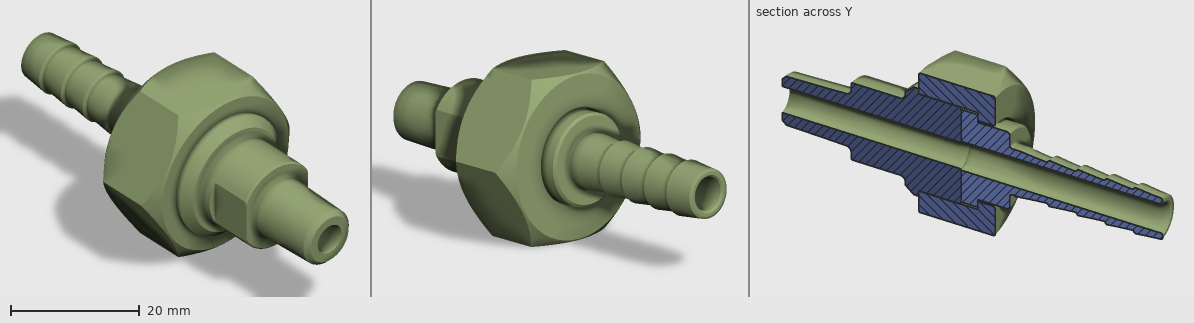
import cadquery as cq
import math

OVERALL_LENGTH = 67.0

TAIL_BORE_RADIUS = 5.5 / 2
TAIL_BORE_CHAMFER = 0.3
TIP_BEVEL_LENGTH = 0.2
TIP_BEVEL_DEPTH = 0.4
BARB_COUNT = 4
BARB_PITCH = 5.03
FIRST_BARB_CREST = 4.9
BARB_CREST_RADIUS = 9.0 / 2
BARB_ROOT_RADIUS = 4.0
BARB_BACK_LENGTH = 0.4
COLLAR_START = 26.9
COLLAR_RADIUS = 15.0 / 2
COLLAR_CHAMFER = 0.4
COLLAR_ROOT_FILLET = 0.4
FLANGE_RADIUS = 18.0 / 2
FLANGE_LENGTH = 3.0

NUT_START = 29.5
NUT_END = 43.0
NUT_ACROSS_FLATS = 27.0
NUT_FACE_RADIUS = 26.5 / 2
NUT_WALL = 3.0
NUT_HOLE_RADIUS = 15.5 / 2
NUT_HOLE_CHAMFER = 0.25
NUT_BORE_RADIUS = 18.63 / 2

MALE_BORE_RADIUS = 5.0 / 2
SHOULDER_RADIUS = 20.9 / 2
SHOULDER_RIM_LENGTH = 0.8
SHOULDER_END = 45.4
SHOULDER_END_RADIUS = 18.0 / 2
BODY_RADIUS = 15.0 / 2
BODY_END = 54.9
BODY_CHAMFER = 0.25
ROOT_FILLET = 0.8
THREAD_TIP_RADIUS = 4.74
THREAD_TAPER = 1 / 16
THREAD_CHAMFER = 0.8
WRENCH_FLAT_WIDTH = 13.0
WRENCH_FLAT_START = 47.7
WRENCH_WALL_LEAN = 0.2

FLANGE_START = NUT_START + NUT_WALL
JOINT_PLANE = FLANGE_START + FLANGE_LENGTH


def revolve_about_x(profile):
    """Turn a closed (x, radius) outline into a solid of revolution about the X axis."""
    return profile.close().revolve(360, (0, 0, 0), (1, 0, 0))


def concave_fillet(profile, start, end, centre):
    """Add a quarter-circle from start to end, its middle lying towards the quarter's inner corner."""
    radius = math.dist(start, centre)
    corner = (start[0] + end[0] - centre[0], start[1] + end[1] - centre[1])
    share = radius / math.dist(corner, centre)
    middle = tuple(c + share * (k - c) for c, k in zip(centre, corner))
    return profile.threePointArc(middle, end)


def make_hose_tail():
    profile = (
        cq.Workplane("XY")
        .moveTo(TAIL_BORE_CHAMFER, TAIL_BORE_RADIUS)
        .lineTo(0, TAIL_BORE_RADIUS + TAIL_BORE_CHAMFER)
        .lineTo(0, BARB_ROOT_RADIUS - TIP_BEVEL_DEPTH)
        .lineTo(TIP_BEVEL_LENGTH, BARB_ROOT_RADIUS)
    )
    for i in range(BARB_COUNT):
        crest = FIRST_BARB_CREST + i * BARB_PITCH
        profile = profile.lineTo(crest, BARB_CREST_RADIUS)
        profile = profile.lineTo(crest + BARB_BACK_LENGTH, BARB_ROOT_RADIUS)

    neck_start = FIRST_BARB_CREST + BARB_COUNT * BARB_PITCH
    fillet_start = (COLLAR_START - COLLAR_ROOT_FILLET, BARB_CREST_RADIUS)
    fillet_end = (COLLAR_START, BARB_CREST_RADIUS + COLLAR_ROOT_FILLET)
    fillet_centre = (fillet_start[0], fillet_end[1])
    profile = profile.lineTo(neck_start, BARB_CREST_RADIUS).lineTo(*fillet_start)
    profile = concave_fillet(profile, fillet_start, fillet_end, fillet_centre)

    profile = (
        profile.lineTo(COLLAR_START, COLLAR_RADIUS - COLLAR_CHAMFER)
        .lineTo(COLLAR_START + COLLAR_CHAMFER, COLLAR_RADIUS)
        .lineTo(FLANGE_START, COLLAR_RADIUS)
        .lineTo(FLANGE_START, FLANGE_RADIUS)
        .lineTo(JOINT_PLANE, FLANGE_RADIUS)
        .lineTo(JOINT_PLANE, TAIL_BORE_RADIUS)
    )
    return revolve_about_x(profile)


def make_nut():
    length = NUT_END - NUT_START
    corner_radius = NUT_ACROSS_FLATS / math.sqrt(3)
    corner_chamfer = corner_radius - NUT_FACE_RADIUS
    hexagon = (
        cq.Workplane("YZ", origin=(NUT_START, 0, 0))
        .polygon(6, 2 * corner_radius)
        .extrude(length)
    )

    corner_trim = (
        cq.Workplane("YZ", origin=(NUT_START, 0, 0))
        .circle(corner_radius)
        .extrude(length)
        .faces("<X or >X")
        .chamfer(corner_chamfer)
    )

    stepped_hole = revolve_about_x(
        cq.Workplane("XY")
        .moveTo(NUT_START, 0)
        .lineTo(NUT_START, NUT_HOLE_RADIUS + NUT_HOLE_CHAMFER)
        .lineTo(NUT_START + NUT_HOLE_CHAMFER, NUT_HOLE_RADIUS)
        .lineTo(FLANGE_START, NUT_HOLE_RADIUS)
        .lineTo(FLANGE_START, NUT_BORE_RADIUS)
        .lineTo(NUT_END, NUT_BORE_RADIUS)
        .lineTo(NUT_END, 0)
    )
    return hexagon.intersect(corner_trim).cut(stepped_hole).solids()


def thread_radius(x):
    """Outer radius of the tapered thread at position x."""
    return THREAD_TIP_RADIUS + (OVERALL_LENGTH - x) * THREAD_TAPER / 2


def make_male_blank():
    profile = (
        cq.Workplane("XY")
        .moveTo(JOINT_PLANE, MALE_BORE_RADIUS)
        .lineTo(JOINT_PLANE, NUT_BORE_RADIUS)
        .lineTo(NUT_END, NUT_BORE_RADIUS)
        .lineTo(NUT_END, SHOULDER_RADIUS)
        .lineTo(NUT_END + SHOULDER_RIM_LENGTH, SHOULDER_RADIUS)
        .lineTo(SHOULDER_END, SHOULDER_END_RADIUS)
    )

    body_start = SHOULDER_END + ROOT_FILLET
    shoulder_fillet_start = (SHOULDER_END, BODY_RADIUS + ROOT_FILLET)
    shoulder_fillet_end = (body_start, BODY_RADIUS)
    shoulder_fillet_centre = (body_start, BODY_RADIUS + ROOT_FILLET)
    profile = profile.lineTo(*shoulder_fillet_start)
    profile = concave_fillet(
        profile, shoulder_fillet_start, shoulder_fillet_end, shoulder_fillet_centre
    )
    profile = profile.lineTo(BODY_END - BODY_CHAMFER, BODY_RADIUS)
    profile = profile.lineTo(BODY_END, BODY_RADIUS - BODY_CHAMFER)

    thread_start = BODY_END + ROOT_FILLET
    thread_root_radius = thread_radius(thread_start)
    thread_fillet_start = (BODY_END, thread_root_radius + ROOT_FILLET)
    thread_fillet_end = (thread_start, thread_root_radius)
    thread_fillet_centre = (thread_start, thread_root_radius + ROOT_FILLET)
    profile = profile.lineTo(*thread_fillet_start)
    profile = concave_fillet(
        profile, thread_fillet_start, thread_fillet_end, thread_fillet_centre
    )

    thread_end = OVERALL_LENGTH - THREAD_CHAMFER
    profile = (
        profile.lineTo(thread_end, thread_radius(thread_end))
        .lineTo(OVERALL_LENGTH, thread_radius(thread_end) - THREAD_CHAMFER)
        .lineTo(OVERALL_LENGTH, MALE_BORE_RADIUS)
    )
    return revolve_about_x(profile)


def make_wrench_cut(side):
    """Material removed for the wrench flat on the +Y (side = 1) or -Y (side = -1) face."""
    flat = WRENCH_FLAT_WIDTH / 2
    return (
        cq.Workplane("XY")
        .moveTo(WRENCH_FLAT_START, side * flat)
        .lineTo(WRENCH_FLAT_START - WRENCH_WALL_LEAN, side * BODY_RADIUS)
        .lineTo(BODY_END, side * BODY_RADIUS)
        .lineTo(BODY_END, side * flat)
        .close()
        .extrude(BODY_RADIUS, both=True)
    )


def make_male_end():
    male = make_male_blank()
    for side in (1, -1):
        male = male.cut(make_wrench_cut(side))
    return male.solids()


hose_tail = make_hose_tail()
nut = make_nut()
male_end = make_male_end()

result = cq.Compound.makeCompound([hose_tail.val(), nut.val(), male_end.val()])